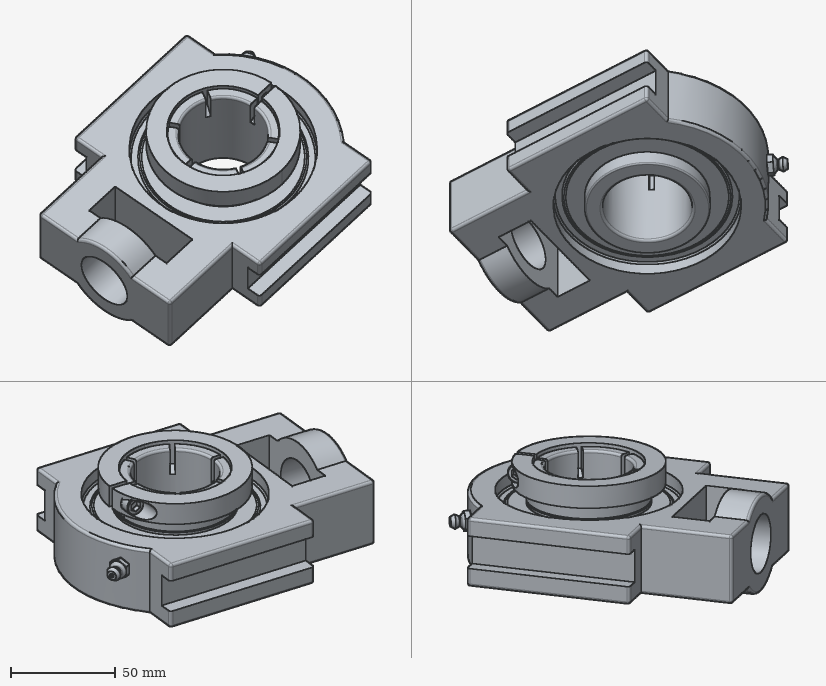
import cadquery as cq
import math


OVERALL_LENGTH = 146.9

BODY_WIDTH = 117.0
BODY_HEIGHT = 34.7
BODY_HALF_LENGTH = 41.3
CROWN_RADIUS = 58.0
NECK_WIDTH = 82.7
NECK_END_Y = -87.2
WINDOW_WIDTH = 48.8
WINDOW_NEAR_Y = -51.0
BOSS_START_Y = -69.9
BOSS_DIAMETER = 49.0
BOSS_HOLE_DIAMETER = 29.0
GUIDE_WIDTH = 16.5
GUIDE_DEPTH = 7.5
HOUSING_FILLET = 1.5
RECESS_DIAMETER = 89.9
RECESS_CHAMFER = 0.9

OUTER_RING_HEIGHT = 22.0
OUTER_RING_END_DIAMETER = 81.7
OUTER_RING_BORE = 78.0
OUTER_RING_CHAMFER = 0.9
SEAT_HALF_HEIGHT = OUTER_RING_HEIGHT / 2 - OUTER_RING_CHAMFER
SEAT_SPHERE_RADIUS = math.hypot(OUTER_RING_END_DIAMETER / 2, SEAT_HALF_HEIGHT)
SEAL_THICKNESS = 2.2

INNER_RING_DIAMETER = 60.0
INNER_RING_BORE = 42.9
INNER_RING_BOTTOM_Z = -18.8
SHOULDER_Z = 12.8
SHOULDER_CHAMFER = 0.5
INNER_RING_TOP_Z = 30.0
BORE_FILLET = 1.3
RIM_FILLET = 0.7
SLEEVE_DIAMETER = 53.2
SLIT_COUNT = 6
SLIT_WIDTH = 2.5
SLIT_FLOOR_Z = 16.2
SLIT_FLOOR_SLOPE = 30.0

COLLAR_DIAMETER = 73.7
COLLAR_BORE = 54.0
SKIRT_DIAMETER = INNER_RING_DIAMETER
COLLAR_BOTTOM_Z = 20.5
COLLAR_TOP_Z = 31.7
COLLAR_GAP = SLIT_WIDTH
SCREW_Y = 31.7
SCREW_Z = (COLLAR_BOTTOM_Z + COLLAR_TOP_Z) / 2
SCREW_HEAD_DIAMETER = 9.4
SCREW_HEAD_CHAMFER = 0.5
SCREW_HEAD_START_X = -14.0
SCREW_HEAD_END_X = -8.1
SCREW_SHANK_DIAMETER = 4.1
SCREW_END_X = 11.7
SOCKET_CORNER_DIAMETER = 5.7
SOCKET_DEPTH = 3.0

NIPPLE_ANGLE = 120.0
NIPPLE_Z = 5.3
NIPPLE_SEAT = 57.7
NIPPLE_HEX_END = 60.8
NIPPLE_HEX_FLATS = 9.1
NIPPLE_CONE_END = 62.1
NIPPLE_CONE_DIAMETER = 6.0
NIPPLE_NECK_START = 62.7
NIPPLE_NECK_END = 63.3
NIPPLE_NECK_DIAMETER = 5.0
NIPPLE_COLLAR_START = 63.9
NIPPLE_COLLAR_DIAMETER = 5.7
NIPPLE_HEAD_WIDEST = 65.4
NIPPLE_HEAD_DIAMETER = 7.2
NIPPLE_TIP_DIAMETER = 4.7
NIPPLE_MOUTH_DIAMETER = 1.9
NIPPLE_MOUTH_DEPTH = 0.7
NIPPLE_TILT = math.radians(NIPPLE_ANGLE - 90)
NIPPLE_TIP = (
    OVERALL_LENGTH + NECK_END_Y - NIPPLE_TIP_DIAMETER / 2 * math.sin(NIPPLE_TILT)
) / math.cos(NIPPLE_TILT)


def z_cylinder(diameter, z_low, z_high):
    return cq.Workplane("XY").workplane(offset=z_low).circle(diameter / 2).extrude(z_high - z_low)


def x_cylinder(diameter, x_start, x_end):
    """Cylinder on the clamp screw axis."""
    plane = cq.Workplane("YZ", origin=(x_start, SCREW_Y, SCREW_Z))
    return plane.circle(diameter / 2).extrude(x_end - x_start)


def y_cylinder(diameter, y_start, y_end):
    """Cylinder on the take-up screw axis."""
    plane = cq.Workplane("XZ", origin=(0, y_end, 0))
    return plane.circle(diameter / 2).extrude(y_end - y_start)


def ring_blank():
    """Solid disc with the spherical rim and chamfered ends of the outer ring."""
    half_height = OUTER_RING_HEIGHT / 2
    end_radius = OUTER_RING_END_DIAMETER / 2
    face_radius = end_radius - OUTER_RING_CHAMFER
    return (
        cq.Workplane("XZ")
        .moveTo(0, -half_height)
        .lineTo(face_radius, -half_height)
        .lineTo(end_radius, -SEAT_HALF_HEIGHT)
        .threePointArc((SEAT_SPHERE_RADIUS, 0), (end_radius, SEAT_HALF_HEIGHT))
        .lineTo(face_radius, half_height)
        .lineTo(0, half_height)
        .close()
        .revolve(360, (0, 0), (0, 1))
    )


def housing_block():
    """Filleted outside of the housing: crowned plate, neck and take-up boss."""
    body_x = BODY_WIDTH / 2
    neck_x = NECK_WIDTH / 2
    crown_x = math.sqrt(CROWN_RADIUS**2 - BODY_HALF_LENGTH**2)
    plate = (
        cq.Workplane("XY")
        .workplane(offset=-BODY_HEIGHT / 2)
        .moveTo(-neck_x, NECK_END_Y)
        .lineTo(neck_x, NECK_END_Y)
        .lineTo(neck_x, -BODY_HALF_LENGTH)
        .lineTo(body_x, -BODY_HALF_LENGTH)
        .lineTo(body_x, BODY_HALF_LENGTH)
        .lineTo(crown_x, BODY_HALF_LENGTH)
        .threePointArc((0, CROWN_RADIUS), (-crown_x, BODY_HALF_LENGTH))
        .lineTo(-body_x, BODY_HALF_LENGTH)
        .lineTo(-body_x, -BODY_HALF_LENGTH)
        .lineTo(-neck_x, -BODY_HALF_LENGTH)
        .close()
        .extrude(BODY_HEIGHT)
    )
    for x, y in (
        (-neck_x, NECK_END_Y),
        (neck_x, NECK_END_Y),
        (-body_x, -BODY_HALF_LENGTH),
        (body_x, -BODY_HALF_LENGTH),
        (-body_x, BODY_HALF_LENGTH),
        (body_x, BODY_HALF_LENGTH),
    ):
        corner = cq.selectors.NearestToPointSelector((x, y, 0))
        plate = plate.edges("|Z").edges(corner).fillet(HOUSING_FILLET)
    plate = plate.faces(">Z or <Z").edges().fillet(HOUSING_FILLET)

    boss = y_cylinder(BOSS_DIAMETER, NECK_END_Y, BOSS_START_Y)
    boss = boss.faces("<Y").edges().fillet(HOUSING_FILLET)
    return plate.union(boss)


def make_housing(ring, nipple):
    housing = housing_block()

    window = cq.Workplane("XY").box(
        WINDOW_WIDTH, WINDOW_NEAR_Y - BOSS_START_Y, BOSS_DIAMETER, centered=(True, False, True)
    )
    housing = housing.cut(window.translate((0, BOSS_START_Y, 0)))
    housing = housing.cut(y_cylinder(BOSS_HOLE_DIAMETER, NECK_END_Y, BOSS_START_Y))

    guide = cq.Workplane("XY").box(2 * GUIDE_DEPTH, 2 * BODY_HALF_LENGTH, GUIDE_WIDTH)
    for side in (-1, 1):
        housing = housing.cut(guide.translate((side * BODY_WIDTH / 2, 0, 0)))

    recess = z_cylinder(RECESS_DIAMETER, SEAT_HALF_HEIGHT, BODY_HEIGHT / 2)
    recess = recess.faces("<Z").chamfer(RECESS_CHAMFER)
    housing = housing.cut(recess).cut(recess.mirror("XY"))
    return housing.cut(ring).cut(nipple)


def make_outer_ring():
    half_height = OUTER_RING_HEIGHT / 2
    return ring_blank().cut(z_cylinder(OUTER_RING_BORE, -half_height, half_height))


def make_seal(z_low):
    z_high = z_low + SEAL_THICKNESS
    seal = z_cylinder(OUTER_RING_BORE, z_low, z_high)
    return seal.cut(z_cylinder(INNER_RING_DIAMETER, z_low, z_high))


def make_inner_ring():
    """Inner ring with a thinner slit sleeve on top, which the collar clamps."""
    ring = z_cylinder(INNER_RING_DIAMETER, INNER_RING_BOTTOM_Z, SHOULDER_Z)
    ring = ring.faces(">Z").edges().chamfer(SHOULDER_CHAMFER)
    ring = ring.union(z_cylinder(SLEEVE_DIAMETER, SHOULDER_Z, INNER_RING_TOP_Z))
    ring = ring.cut(z_cylinder(INNER_RING_BORE, INNER_RING_BOTTOM_Z, INNER_RING_TOP_Z))
    bore_radius = INNER_RING_BORE / 2
    ring = ring.edges(cq.selectors.RadiusNthSelector(0)).fillet(BORE_FILLET)
    ring = ring.faces("<Z").edges(cq.selectors.RadiusNthSelector(-1)).fillet(RIM_FILLET)

    slit = cq.Workplane("XY").box(
        INNER_RING_DIAMETER, SLIT_WIDTH, COLLAR_TOP_Z, centered=(False, True, False)
    )
    slit = slit.rotate((0, 0, 0), (0, 1, 0), -SLIT_FLOOR_SLOPE)
    slit = slit.translate((bore_radius, 0, SLIT_FLOOR_Z))
    for index in range(SLIT_COUNT):
        angle = 90 + index * 360 / SLIT_COUNT
        ring = ring.cut(slit.rotate((0, 0, 0), (0, 0, 1), angle))
    return ring


def make_screw():
    head = x_cylinder(SCREW_HEAD_DIAMETER, SCREW_HEAD_START_X, SCREW_HEAD_END_X)
    head = head.faces("<X").edges().chamfer(SCREW_HEAD_CHAMFER)
    shank = x_cylinder(SCREW_SHANK_DIAMETER, SCREW_HEAD_END_X, SCREW_END_X)
    socket = (
        cq.Workplane("YZ", origin=(SCREW_HEAD_START_X, SCREW_Y, SCREW_Z))
        .transformed(rotate=(0, 0, 90))
        .polygon(6, SOCKET_CORNER_DIAMETER)
        .extrude(SOCKET_DEPTH)
    )
    return head.union(shank).cut(socket)


def make_collar():
    """Split collar; its skirt goes down to the shoulder of the inner ring."""
    collar = z_cylinder(COLLAR_DIAMETER, COLLAR_BOTTOM_Z, COLLAR_TOP_Z)
    skirt = z_cylinder(SKIRT_DIAMETER, SHOULDER_Z, COLLAR_BOTTOM_Z)
    collar = collar.union(skirt)
    collar = collar.cut(z_cylinder(COLLAR_BORE, SHOULDER_Z, COLLAR_TOP_Z))
    gap = cq.Workplane("XY").box(
        COLLAR_GAP, COLLAR_DIAMETER, COLLAR_TOP_Z - SHOULDER_Z, centered=(True, False, False)
    )
    collar = collar.cut(gap.translate((0, 0, SHOULDER_Z)))
    counterbore = x_cylinder(SCREW_HEAD_DIAMETER, -COLLAR_DIAMETER / 2, SCREW_HEAD_END_X)
    screw_hole = x_cylinder(SCREW_SHANK_DIAMETER, SCREW_HEAD_END_X, SCREW_END_X)
    return collar.cut(counterbore).cut(screw_hole)


def make_nipple():
    """Grease nipple, built along +X and then turned to its place on the crown."""
    hexagon = (
        cq.Workplane("YZ", origin=(NIPPLE_SEAT, 0, 0))
        .transformed(rotate=(0, 0, 90))
        .polygon(6, NIPPLE_HEX_FLATS / math.cos(math.pi / 6))
        .extrude(NIPPLE_HEX_END - NIPPLE_SEAT)
    )
    stem = (
        cq.Workplane("XY")
        .moveTo(NIPPLE_SEAT, 0)
        .lineTo(NIPPLE_SEAT, NIPPLE_HEX_FLATS / 2)
        .lineTo(NIPPLE_HEX_END, NIPPLE_HEX_FLATS / 2)
        .lineTo(NIPPLE_CONE_END, NIPPLE_CONE_DIAMETER / 2)
        .lineTo(NIPPLE_NECK_START, NIPPLE_NECK_DIAMETER / 2)
        .lineTo(NIPPLE_NECK_END, NIPPLE_NECK_DIAMETER / 2)
        .lineTo(NIPPLE_COLLAR_START, NIPPLE_COLLAR_DIAMETER / 2)
        .lineTo(NIPPLE_HEAD_WIDEST, NIPPLE_HEAD_DIAMETER / 2)
        .lineTo(NIPPLE_TIP, NIPPLE_TIP_DIAMETER / 2)
        .lineTo(NIPPLE_TIP, NIPPLE_MOUTH_DIAMETER / 2)
        .lineTo(NIPPLE_TIP - NIPPLE_MOUTH_DEPTH, NIPPLE_MOUTH_DIAMETER / 2)
        .lineTo(NIPPLE_TIP - NIPPLE_MOUTH_DEPTH, 0)
        .close()
        .revolve(360, (0, 0), (1, 0))
    )
    nipple = hexagon.union(stem)
    return nipple.rotate((0, 0, 0), (0, 0, 1), NIPPLE_ANGLE).translate((0, 0, NIPPLE_Z))


nipple = make_nipple()
outer_ring = make_outer_ring()
housing = make_housing(ring_blank(), nipple)
upper_seal = make_seal(OUTER_RING_HEIGHT / 2 - SEAL_THICKNESS)
lower_seal = make_seal(-OUTER_RING_HEIGHT / 2)
inner_ring = make_inner_ring()
collar = make_collar()
screw = make_screw()

result = cq.Compound.makeCompound(
    [
        housing.val(),
        nipple.val(),
        outer_ring.val(),
        upper_seal.val(),
        lower_seal.val(),
        inner_ring.val(),
        collar.val(),
        screw.val(),
    ]
)